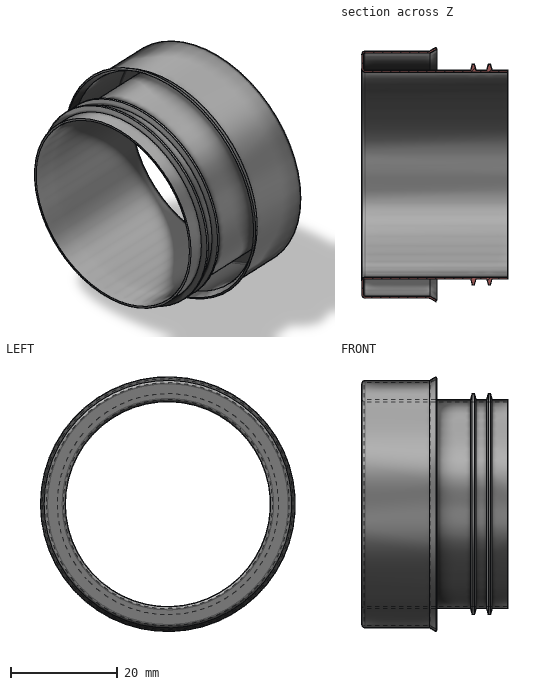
import cadquery as cq
import math

length = 27.5
wall = 0.41
bore_radius = 38.6 / 2
tube_radius = bore_radius + wall
skirt_radius = 46.6 / 2
skirt_inner_radius = skirt_radius - wall
fold_radius = 0.6
fold_inner_radius = fold_radius - wall

lip_radius = 48 / 2
flare_start = 12.75
flare_angle = math.radians(30)

bead_radius = 20.85
bead_base_width = 1.05
bead_tip_width = 0.45
bead_center = 21.0
bead_pitch = 3.0
bead_count = 2


def revolve_about_x(profile):
    """Turn a closed profile of (axial, radial) points about the X axis."""
    return profile.close().revolve(360, (0, 0, 0), (1, 0, 0))


def folded_sleeve():
    """Inner tube, rounded front fold and flared outer skirt of constant wall thickness."""
    diagonal = 1 - math.sqrt(0.5)
    outer_mid = fold_radius * diagonal
    inner_mid = fold_inner_radius * diagonal

    flare_end = flare_start + (lip_radius - skirt_radius) / math.tan(flare_angle)
    lip_inner_x = flare_end + wall * math.sin(flare_angle)
    lip_inner_radius = lip_radius - wall * math.cos(flare_angle)
    inner_flare_start = flare_start + wall * math.tan(flare_angle / 2)

    profile = (
        cq.Workplane("XY")
        .moveTo(length, bore_radius)
        .lineTo(fold_radius, bore_radius)
        .threePointArc((outer_mid, bore_radius + outer_mid), (0, bore_radius + fold_radius))
        .lineTo(0, skirt_radius - fold_radius)
        .threePointArc((outer_mid, skirt_radius - outer_mid), (fold_radius, skirt_radius))
        .lineTo(flare_start, skirt_radius)
        .lineTo(flare_end, lip_radius)
        .lineTo(lip_inner_x, lip_inner_radius)
        .lineTo(inner_flare_start, skirt_inner_radius)
        .lineTo(fold_radius, skirt_inner_radius)
        .threePointArc(
            (wall + inner_mid, skirt_inner_radius - inner_mid),
            (wall, skirt_inner_radius - fold_inner_radius),
        )
        .lineTo(wall, tube_radius + fold_inner_radius)
        .threePointArc((wall + inner_mid, tube_radius + inner_mid), (fold_radius, tube_radius))
        .lineTo(length, tube_radius)
    )
    return revolve_about_x(profile)


def sealing_bead(center):
    """Tapered ring that reaches into the tube wall so that it joins it."""
    root_radius = tube_radius - wall / 2
    half_base = bead_base_width / 2
    half_tip = bead_tip_width / 2
    profile = (
        cq.Workplane("XY")
        .moveTo(center - half_base, root_radius)
        .lineTo(center - half_base, tube_radius)
        .lineTo(center - half_tip, bead_radius)
        .lineTo(center + half_tip, bead_radius)
        .lineTo(center + half_base, tube_radius)
        .lineTo(center + half_base, root_radius)
    )
    return revolve_about_x(profile)


result = folded_sleeve()
for index in range(bead_count):
    result = result.union(sealing_bead(bead_center + index * bead_pitch))